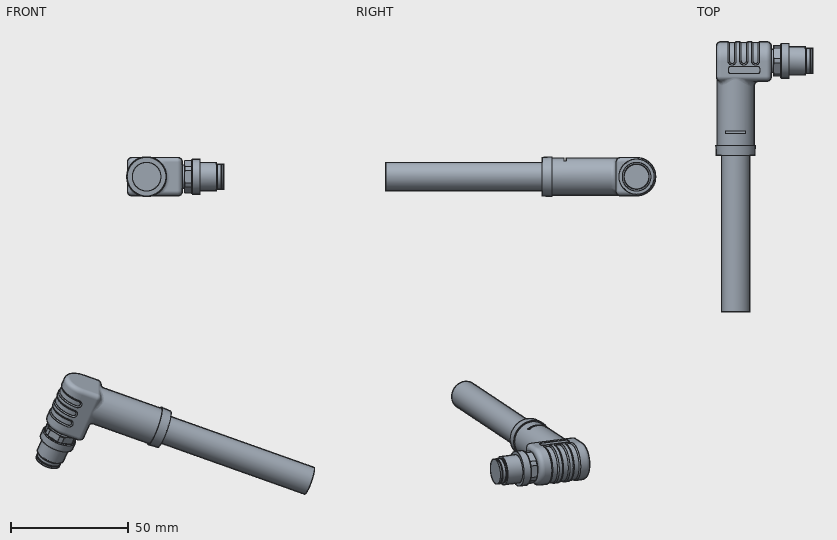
import cadquery as cq
import math


total_length_x = 41.4
total_length_y = 115.04

body_radius = 8.2
body_left = -body_radius
body_right = 15.25
body_front = -8.7
body_fillet = 2.0

groove_pitch = 5.0
groove_first_x = -1.5
groove_count = 3
groove_depth = 0.35
groove_top_half_width = 1.75
groove_floor_half_width = 1.1
groove_clearance = 1.0
label_length = 13.3
label_width = 3.1
label_center_x = 3.65
label_center_y = -3.9
label_corner = 0.9
label_depth = 0.1

sleeve_radius = 8.0
blend_radius = 2.0
edge_tolerance = 0.001
slot_width = 0.9
slot_center_y = -30.4
slot_floor_z = 6.75

collar_back_y = -36.0
collar_front_y = -40.2
collar_large_radius = 8.5
collar_small_radius = 8.25
cable_radius = 6.1
cable_end_y = body_radius - total_length_y

neck_radius = 5.0
nut_start = 16.1
nut_across_flats = 13.0
nut_radius = 7.0
nut_chamfer = 0.3
ring_start = 19.2
ring_end = 22.8
ring_radius = 7.5
ring_chamfer = 0.4
thread_end = 29.7
thread_radius = 6.1
tip_end = total_length_x - collar_large_radius
tip_radius = 5.4
tip_groove_radius = 5.25
tip_grooves = [(thread_end, 30.3), (31.7, 32.1)]


def cylinder_x(radius, start, end):
    return cq.Workplane("YZ").workplane(offset=start).circle(radius).extrude(end - start)


def cylinder_y(radius, back, front):
    return cq.Workplane("XZ", origin=(0, back, 0)).circle(radius).extrude(back - front)


def make_body():
    """Block with a half-round back, all outer edges rounded."""
    return (
        cq.Workplane("YZ", origin=(body_left, 0, 0))
        .moveTo(body_front, -body_radius)
        .lineTo(0, -body_radius)
        .threePointArc((body_radius, 0), (0, body_radius))
        .lineTo(body_front, body_radius)
        .close()
        .extrude(body_right - body_left)
        .edges("<X or >X or <Y")
        .fillet(body_fillet)
    )


def make_grip_groove(x):
    """Sloped-wall groove around the half-round back, with a conical end on each flat."""
    slope = (groove_top_half_width - groove_floor_half_width) / groove_depth
    floor = body_radius - groove_depth
    top = body_radius + groove_clearance
    top_half_width = groove_top_half_width + slope * groove_clearance
    groove = (
        cq.Workplane("XY")
        .polyline([
            (x - groove_floor_half_width, floor),
            (x + groove_floor_half_width, floor),
            (x + top_half_width, top),
            (x - top_half_width, top),
        ])
        .close()
        .revolve(180, (0, 0, 0), (1, 0, 0))
        .rotate((0, 0, 0), (1, 0, 0), -90)
    )
    for side in (1, -1):
        end = cq.Solid.makeCone(
            groove_floor_half_width,
            top_half_width,
            top - floor,
            pnt=cq.Vector(x, 0, side * floor),
            dir=cq.Vector(0, 0, side),
        )
        groove = groove.union(cq.Workplane(end))
    return groove


def make_label_recess():
    return (
        cq.Workplane("XY", origin=(label_center_x, label_center_y, body_radius - label_depth))
        .rect(label_length, label_width)
        .extrude(2 * label_depth)
        .edges("|Z")
        .fillet(label_corner)
    )


def is_blend_edge(edge):
    """True for the edges where the sleeve surface enters the front of the body."""
    points = [edge.startPoint(), edge.endPoint()]
    on_sleeve = all(
        math.isclose(math.hypot(p.x, p.z), sleeve_radius, abs_tol=edge_tolerance) for p in points
    )
    near_body = all(p.y > body_front - edge_tolerance for p in points)
    return on_sleeve and near_body


def add_sleeve(body):
    """Sleeve joined to the body front with a concave blend."""
    joined = body.union(cylinder_y(sleeve_radius, 0, collar_back_y))
    return joined.edges().filter(is_blend_edge).fillet(blend_radius)


def make_sleeve_slot():
    return (
        cq.Workplane("XY", origin=(0, slot_center_y, slot_floor_z))
        .rect(2 * sleeve_radius, slot_width)
        .extrude(sleeve_radius)
    )


def make_collar():
    return cq.Workplane(
        cq.Solid.makeCone(
            collar_large_radius,
            collar_small_radius,
            collar_back_y - collar_front_y,
            pnt=cq.Vector(0, collar_back_y, 0),
            dir=cq.Vector(0, -1, 0),
        )
    )


def make_nut():
    """Hexagon with flats facing +Y and -Y, its corners turned down and chamfered."""
    corner_diameter = nut_across_flats / math.cos(math.pi / 6)
    length = ring_start - nut_start
    hexagon = (
        cq.Workplane("YZ", origin=(nut_start, 0, 0))
        .transformed(rotate=(0, 0, 90))
        .polygon(6, corner_diameter)
        .extrude(length)
    )
    turned = cylinder_x(nut_radius, nut_start, ring_start).faces("<X").chamfer(nut_chamfer)
    return hexagon.intersect(turned)


def make_coupling():
    ring = cylinder_x(ring_radius, ring_start, ring_end).faces("<X").chamfer(ring_chamfer)
    coupling = (
        cylinder_x(neck_radius, 0, ring_start)
        .union(make_nut())
        .union(ring)
        .union(cylinder_x(thread_radius, ring_end, thread_end))
        .union(cylinder_x(tip_radius, thread_end, tip_end))
    )
    for start, end in tip_grooves:
        groove = cylinder_x(tip_radius, start, end).cut(cylinder_x(tip_groove_radius, start, end))
        coupling = coupling.cut(groove)
    return coupling


result = add_sleeve(make_body())
for index in range(groove_count):
    result = result.cut(make_grip_groove(groove_first_x + index * groove_pitch))
result = (
    result.cut(make_label_recess())
    .cut(make_sleeve_slot())
    .union(make_collar())
    .union(cylinder_y(cable_radius, collar_front_y, cable_end_y))
    .union(make_coupling())
)